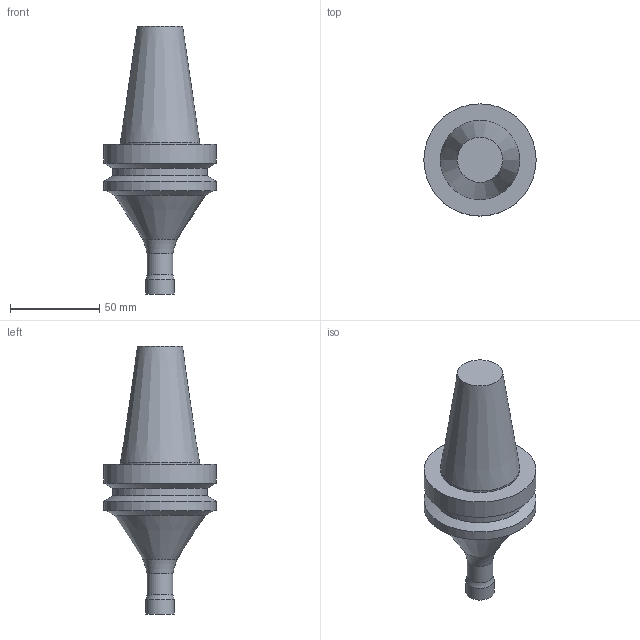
import cadquery as cq
import math

TAPER_LENGTH = 65.4
TAPER_RATIO = 7 / 24
GAUGE_DIAMETER = 44.45

FLANGE_DIAMETER = 63.0
FLANGE_TOP = -1.0
FLANGE_BOTTOM = -27.0
GROOVE_CENTRE = -16.6
GROOVE_DIAMETER = 53.0
GROOVE_FLOOR_WIDTH = 4.25
GROOVE_FLANK_ANGLE = 30.0

UNDERSIDE_CONE_DIAMETER = 60.6
UNDERSIDE_CONE_HEIGHT = 2.55
BODY_CONE_TOP_DIAMETER = 51.2
BODY_CONE_BOTTOM_DIAMETER = 19.2
BODY_CONE_BOTTOM = -54.3

NECK_DIAMETER = 14.5
NECK_TOP = -62.4
NECK_BLEND_RADIUS = 40.0

TIP_DIAMETER = 16.0
TIP_BOTTOM = -85.0
TIP_LENGTH = 8.0
TIP_BLEND_LENGTH = 3.2
TIP_BLEND_RADIUS = 15.0


def tool_holder_profile():
    """Closed half section in the XZ plane, drawn from the small taper end down to the tip."""
    gauge_radius = GAUGE_DIAMETER / 2
    taper_end_radius = (GAUGE_DIAMETER - TAPER_LENGTH * TAPER_RATIO) / 2

    flange_radius = FLANGE_DIAMETER / 2
    groove_radius = GROOVE_DIAMETER / 2
    floor_half_width = GROOVE_FLOOR_WIDTH / 2
    flank_height = (flange_radius - groove_radius) * math.tan(math.radians(GROOVE_FLANK_ANGLE))
    mouth_half_width = floor_half_width + flank_height

    body_cone_top = FLANGE_BOTTOM - UNDERSIDE_CONE_HEIGHT

    neck_radius = NECK_DIAMETER / 2
    tip_radius = TIP_DIAMETER / 2
    tip_top = TIP_BOTTOM + TIP_LENGTH
    neck_bottom = tip_top + TIP_BLEND_LENGTH

    return (
        cq.Workplane("XZ")
        .moveTo(0, TAPER_LENGTH)
        .lineTo(taper_end_radius, TAPER_LENGTH)
        .lineTo(gauge_radius, 0)
        .lineTo(gauge_radius, FLANGE_TOP)
        .lineTo(flange_radius, FLANGE_TOP)
        .lineTo(flange_radius, GROOVE_CENTRE + mouth_half_width)
        .lineTo(groove_radius, GROOVE_CENTRE + floor_half_width)
        .lineTo(groove_radius, GROOVE_CENTRE - floor_half_width)
        .lineTo(flange_radius, GROOVE_CENTRE - mouth_half_width)
        .lineTo(flange_radius, FLANGE_BOTTOM)
        .lineTo(UNDERSIDE_CONE_DIAMETER / 2, FLANGE_BOTTOM)
        .lineTo(BODY_CONE_TOP_DIAMETER / 2, body_cone_top)
        .lineTo(BODY_CONE_BOTTOM_DIAMETER / 2, BODY_CONE_BOTTOM)
        .radiusArc((neck_radius, NECK_TOP), -NECK_BLEND_RADIUS)
        .lineTo(neck_radius, neck_bottom)
        .radiusArc((tip_radius, tip_top), -TIP_BLEND_RADIUS)
        .lineTo(tip_radius, TIP_BOTTOM)
        .lineTo(0, TIP_BOTTOM)
        .close()
    )


result = tool_holder_profile().revolve(360, (0, 0, 0), (0, 1, 0))